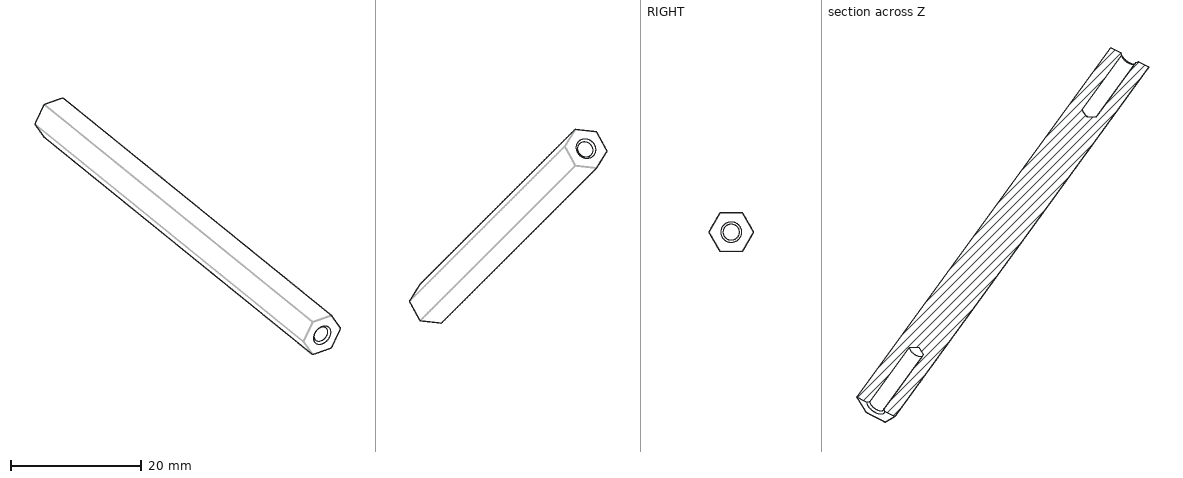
import cadquery as cq
import math

length = 75.0
across_flats = 6.0
across_corners = across_flats / math.cos(math.radians(30))
edge_radius = 0.1

bore_diameter = 2.5
countersink_depth = 0.35
bore_depth = 12.0
drill_tip_angle = 118.0


def hexagonal_bar():
    """Bar with flats at top and bottom, and every edge rounded."""
    bar = cq.Workplane("YZ").polygon(6, across_corners).extrude(length)
    return bar.edges().fillet(edge_radius)


def blind_hole():
    """Cutter for the hole entering at X = 0."""
    bore_radius = bore_diameter / 2
    mouth_radius = bore_radius + countersink_depth
    tip_length = bore_radius / math.tan(math.radians(drill_tip_angle / 2))
    profile = [
        (0, 0),
        (0, mouth_radius),
        (countersink_depth, bore_radius),
        (bore_depth, bore_radius),
        (bore_depth + tip_length, 0),
    ]
    return cq.Workplane("XY").polyline(profile).close().revolve(360, (0, 0), (1, 0))


near_hole = blind_hole()
far_hole = near_hole.mirror("YZ", (length / 2, 0, 0))

result = hexagonal_bar().cut(near_hole).cut(far_hole)